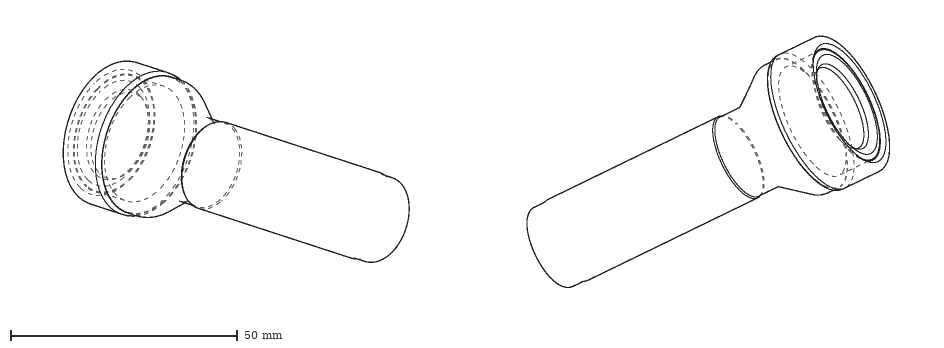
import cadquery as cq
import math

length = 80.0
bezel_end = 9.9
flange_end = 11.2
shoulder_start = 14.1
grip_start = 29.8
grip_step = 0.4
grip_end = 75.0
tail_start = 76.0

head_radius = 33.0 / 2
shoulder_radius = 31.6 / 2
neck_radius = 19.5 / 2
grip_radius = 20.0 / 2
edge_fillet = 0.8
tail_fillet = 1.1

cone_angle = math.radians(35.4)
cone_round = 3.0
round_run = cone_round * math.sin(cone_angle)
round_drop = cone_round * (1 - math.cos(cone_angle))
cone_start = shoulder_start + round_run
cone_large_radius = shoulder_radius - round_drop
cone_small_radius = neck_radius + round_drop
cone_end = cone_start + (cone_large_radius - cone_small_radius) / math.tan(cone_angle)
neck_start = cone_end + round_run

mouth_radius = 14.4
bore_radius = 13.4
groove_radius = 13.6
mouth_depth = 1.0
nose_rim_radius = 12.2
nose_rim_width = 0.2
nose_rim_x = 0.7
dish_radius = 10.8
dish_x = 1.6
lens_seat_radius = 10.3
lens_seat_x = 1.9
lens_radius = 9.8
lens_x = 2.8


def revolve_about_x(profile):
    """Turn a closed half-profile (X, radius) into a solid of revolution."""
    return profile.close().revolve(360, (0, 0, 0), (1, 0, 0))


def make_bezel():
    """Front ring with a rounded outer edge and a tapered mouth."""
    ring = revolve_about_x(
        cq.Workplane("XY")
        .moveTo(0, mouth_radius)
        .lineTo(0, head_radius)
        .lineTo(bezel_end, head_radius)
        .lineTo(bezel_end, bore_radius)
        .lineTo(mouth_depth, bore_radius)
        .lineTo(mouth_depth, groove_radius)
    )
    front_rim = cq.selectors.RadiusNthSelector(-1)
    return ring.faces("<X").edges(front_rim).fillet(edge_fillet)


def make_housing():
    """Dished nose, flange, conical head, neck, grip and rounded tail in one piece."""
    tail_end_radius = neck_radius - tail_fillet
    flange_fillet_start = flange_end - edge_fillet
    return revolve_about_x(
        cq.Workplane("XY")
        .moveTo(lens_x, 0)
        .lineTo(lens_x, lens_radius)
        .lineTo(lens_seat_x, lens_seat_radius)
        .lineTo(dish_x, dish_radius)
        .lineTo(nose_rim_x, nose_rim_radius - nose_rim_width)
        .lineTo(nose_rim_x, nose_rim_radius)
        .lineTo(mouth_depth, bore_radius)
        .lineTo(bezel_end, bore_radius)
        .lineTo(bezel_end, head_radius)
        .lineTo(flange_fillet_start, head_radius)
        .radiusArc((flange_end, head_radius - edge_fillet), edge_fillet)
        .lineTo(flange_end, shoulder_radius)
        .lineTo(shoulder_start, shoulder_radius)
        .radiusArc((cone_start, cone_large_radius), cone_round)
        .lineTo(cone_end, cone_small_radius)
        .radiusArc((neck_start, neck_radius), -cone_round)
        .lineTo(grip_start - grip_step, neck_radius)
        .lineTo(grip_start, grip_radius)
        .lineTo(grip_end, grip_radius)
        .lineTo(tail_start, neck_radius)
        .lineTo(length - tail_fillet, neck_radius)
        .radiusArc((length, tail_end_radius), tail_fillet)
        .lineTo(length, 0)
    )


bezel = make_bezel()
housing = make_housing()

result = cq.Compound.makeCompound([bezel.val(), housing.val()])